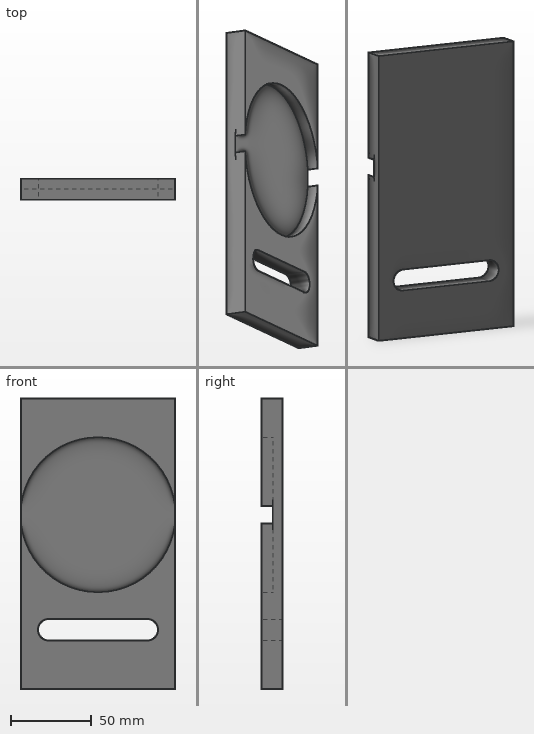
import cadquery as cq

plate_width = 95.4
plate_thickness = 13.24
plate_height = 180.0

pocket_diameter = 96.0
pocket_depth = 6.97
pocket_center_height = 108.0

slot_length = 74.2
slot_width = 13.2
slot_center_height = 36.77


def make_plate():
    """Rectangular plate resting on Z = 0, centred in X, with its front face on Y = 0."""
    return cq.Workplane("XY").box(
        plate_width, plate_thickness, plate_height, centered=(True, False, False)
    )


def front_sketch_plane(height):
    """Workplane on the front face at the given height; positive extrusion goes out of the plate."""
    return cq.Workplane("XZ", origin=(0, 0, height))


def make_pocket():
    return front_sketch_plane(pocket_center_height).circle(pocket_diameter / 2).extrude(-pocket_depth)


def make_slot():
    return front_sketch_plane(slot_center_height).slot2D(slot_length, slot_width).extrude(-plate_thickness)


result = make_plate().cut(make_pocket()).cut(make_slot())